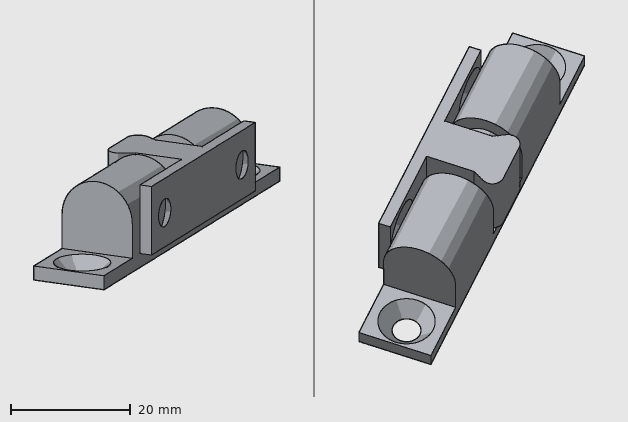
import cadquery as cq
import math

LENGTH = 68.4
WIDTH = 13.0
BASE_THICKNESS = 2.45

BARREL_INNER_Y = 6.3
BARREL_OUTER_Y = 23.2
BARREL_RADIUS = WIDTH / 2
BARREL_AXIS_Z = 8.5

BALL_RADIUS = 4.1
BALL_INSET = 1.1
BALL_Y = BARREL_INNER_Y + BALL_INSET

SCREW_HEAD_RADIUS = 4.8
SCREW_HOLE_RADIUS = 2.4
BASE_HOLE_Y = 29.0

STRIKE_HEIGHT = 12.0
PLATE_LENGTH = 40.35
PLATE_THICKNESS = 2.1
PLATE_HOLE_Y = 15.05
PLATE_FRONT_X = WIDTH / 2
TONGUE_HALF_WIDTH = 4.05
HEAD_HALF_WIDTH = 5.5
HEAD_RADIUS = 2.0
HEAD_OVERHANG = 0.6
SHOULDER_X = -2.05


def screw_cone(depth, position, direction):
    """Conical hole, widest at position and narrowing along direction."""
    return cq.Workplane(
        cq.Solid.makeCone(
            SCREW_HEAD_RADIUS, SCREW_HOLE_RADIUS, depth, cq.Vector(*position), cq.Vector(*direction)
        )
    )


def make_ball(side):
    return cq.Workplane("XY").sphere(BALL_RADIUS).translate((0, side * BALL_Y, BARREL_AXIS_Z))


def make_barrel(side):
    barrel_length = BARREL_OUTER_Y - BARREL_INNER_Y
    middle_y = side * (BARREL_OUTER_Y + BARREL_INNER_Y) / 2
    return (
        cq.Workplane("XZ")
        .moveTo(-BARREL_RADIUS, 0)
        .lineTo(BARREL_RADIUS, 0)
        .lineTo(BARREL_RADIUS, BARREL_AXIS_Z)
        .threePointArc((0, BARREL_AXIS_Z + BARREL_RADIUS), (-BARREL_RADIUS, BARREL_AXIS_Z))
        .close()
        .extrude(barrel_length / 2, both=True)
        .translate((0, middle_y, 0))
    )


def make_housing():
    """Base strip, barrels and balls as one solid."""
    housing = cq.Workplane("XY").box(WIDTH, LENGTH, BASE_THICKNESS, centered=(True, True, False))
    for side in (-1, 1):
        housing = housing.union(make_barrel(side)).union(make_ball(side))
        hole_top = (0, side * BASE_HOLE_Y, BASE_THICKNESS)
        housing = housing.cut(screw_cone(BASE_THICKNESS, hole_top, (0, 0, -1)))
    return housing


def make_tongue():
    """Tongue whose rounded head runs tangentially into straight sloping flanks."""
    tip_x = -WIDTH / 2 - HEAD_OVERHANG
    arc_x = tip_x + HEAD_RADIUS
    arc_y = HEAD_HALF_WIDTH - HEAD_RADIUS

    to_shoulder_x = SHOULDER_X - arc_x
    to_shoulder_y = TONGUE_HALF_WIDTH - arc_y
    shoulder_distance = math.hypot(to_shoulder_x, to_shoulder_y)
    tangent_angle = math.atan2(to_shoulder_y, to_shoulder_x) + math.acos(HEAD_RADIUS / shoulder_distance)
    middle_angle = (tangent_angle + math.pi) / 2

    def on_head(angle, side):
        return (arc_x + HEAD_RADIUS * math.cos(angle), side * (arc_y + HEAD_RADIUS * math.sin(angle)))

    return (
        cq.Workplane("XY")
        .workplane(offset=BASE_THICKNESS)
        .moveTo(PLATE_FRONT_X, TONGUE_HALF_WIDTH)
        .lineTo(SHOULDER_X, TONGUE_HALF_WIDTH)
        .lineTo(*on_head(tangent_angle, 1))
        .threePointArc(on_head(middle_angle, 1), on_head(math.pi, 1))
        .lineTo(*on_head(math.pi, -1))
        .threePointArc(on_head(middle_angle, -1), on_head(tangent_angle, -1))
        .lineTo(SHOULDER_X, -TONGUE_HALF_WIDTH)
        .lineTo(PLATE_FRONT_X, -TONGUE_HALF_WIDTH)
        .close()
        .extrude(STRIKE_HEIGHT)
    )


def make_strike():
    """Back plate and tongue, with dimples that seat the balls."""
    strike = (
        cq.Workplane("XY")
        .box(PLATE_THICKNESS, PLATE_LENGTH, STRIKE_HEIGHT, centered=(False, True, False))
        .translate((PLATE_FRONT_X, 0, BASE_THICKNESS))
        .union(make_tongue())
    )
    hole_z = BASE_THICKNESS + STRIKE_HEIGHT / 2
    for side in (-1, 1):
        hole_front = (PLATE_FRONT_X, side * PLATE_HOLE_Y, hole_z)
        strike = strike.cut(screw_cone(PLATE_THICKNESS, hole_front, (1, 0, 0)))
        strike = strike.cut(make_ball(side))
    return strike


housing = make_housing()
strike = make_strike()
result = cq.Compound.makeCompound([housing.val(), strike.val()])